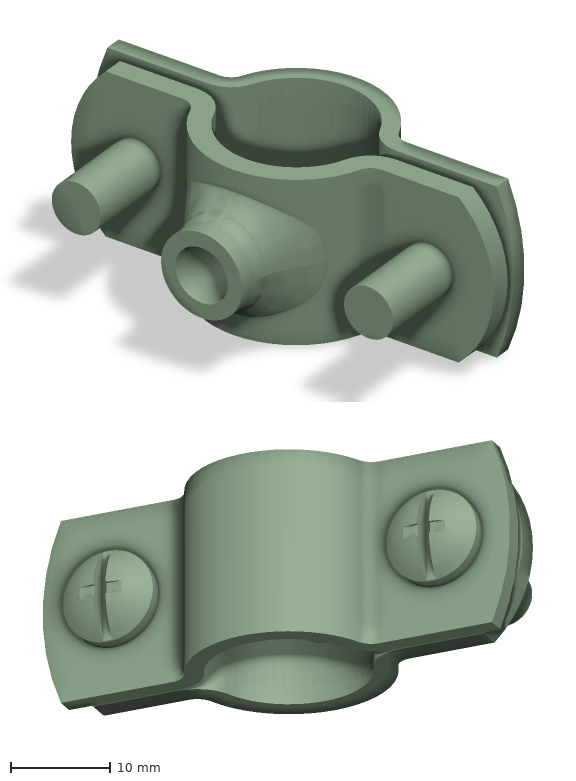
import cadquery as cq
import math


length = 52.0
bore_radius = 8.6
bend_radius = 2.0
rear_thickness = 2.0
rear_height = 20.0
rear_corner_x = 23.95
front_thickness = 2.5
front_height = 19.35
front_corner_x = 21.75
front_seat_y = 0.0
gap = 1.0
rear_seat_y = front_seat_y + gap
rear_face_y = rear_seat_y + rear_thickness

boss_length = 5.55
boss_end_y = -(bore_radius + front_thickness + boss_length)
boss_radius = 5.0
boss_hole_radius = 3.2
neck_length = 1.9
flare_sections = [
    (0.0, 0.0, 0.0),
    (1.65, 0.25, 0.45),
    (3.35, 1.0, 1.8),
    (5.65, 2.5, 4.9),
    (8.15, 3.8, 11.45),
]

screw_x = 18.0
shank_radius = 3.0
shank_length = 15.95
head_radius = 5.0
rim_height = 1.55
dome_height = 2.2
head_height = rim_height + dome_height
slot_top_width = 1.4
slot_floor_width = 1.05
slot_depth = 2.1
cross_slot_width = 1.25
cross_slot_depth = 0.4


def bent_strap(thickness, height, corner_x, seat_y):
    """Strap with a half ring towards +Y; seat_y is the inner face of its flat ends."""
    face_y = seat_y + thickness
    outer_radius = bore_radius + thickness
    bend_y = face_y + bend_radius
    bend_x = math.sqrt((outer_radius + bend_radius) ** 2 - bend_y ** 2)
    ring_angle = math.atan2(bend_y, bend_x)
    middle_angle = (ring_angle + math.pi + 1.5 * math.pi) / 2
    inner_bend_radius = bend_radius + thickness
    end_x = length / 2

    def on_ring(radius):
        return radius * math.cos(ring_angle), radius * math.sin(ring_angle)

    def bend_middle(radius):
        return bend_x + radius * math.cos(middle_angle), bend_y + radius * math.sin(middle_angle)

    def mirrored(point):
        return -point[0], point[1]

    outline = (
        cq.Workplane("XY")
        .moveTo(end_x, seat_y)
        .lineTo(end_x, face_y)
        .lineTo(bend_x, face_y)
        .threePointArc(bend_middle(bend_radius), on_ring(outer_radius))
        .threePointArc((0, outer_radius), mirrored(on_ring(outer_radius)))
        .threePointArc(mirrored(bend_middle(bend_radius)), (-bend_x, face_y))
        .lineTo(-end_x, face_y)
        .lineTo(-end_x, seat_y)
        .lineTo(-bend_x, seat_y)
        .threePointArc(mirrored(bend_middle(inner_bend_radius)), mirrored(on_ring(bore_radius)))
        .threePointArc((0, bore_radius), on_ring(bore_radius))
        .threePointArc(bend_middle(inner_bend_radius), (bend_x, seat_y))
        .close()
    )
    strap = outline.extrude(height / 2, both=True)
    return strap.intersect(rounded_ends(height, corner_x))


def rounded_ends(height, corner_x):
    """Block as long as the clamp whose two ends are arcs in the XZ plane."""
    end_x = length / 2
    half_height = height / 2
    return (
        cq.Workplane("XZ")
        .moveTo(-corner_x, half_height)
        .lineTo(corner_x, half_height)
        .threePointArc((end_x, 0), (corner_x, -half_height))
        .lineTo(-corner_x, -half_height)
        .threePointArc((-end_x, 0), (-corner_x, half_height))
        .close()
        .extrude(length, both=True)
    )


def cylinder_along_y(radius, y_start, y_end):
    """Cylinder on the Y axis from y_start towards -Y down to y_end."""
    return (
        cq.Workplane("XZ", origin=(0, y_start, 0))
        .circle(radius)
        .extrude(y_start - y_end)
    )


def shank(x):
    """Screw shank, which also cuts its own matching hole through both straps."""
    return cylinder_along_y(shank_radius, rear_face_y, rear_face_y - shank_length).translate((x, 0, 0))


def make_boss():
    """Straight neck and its flare, which widens up to the ring of the front strap."""
    neck_y = boss_end_y + neck_length
    flare = cq.Workplane("XZ", origin=(0, neck_y, 0))
    previous_distance = 0.0
    for distance, growth_x, growth_z in flare_sections:
        flare = flare.workplane(offset=previous_distance - distance)
        flare = flare.ellipse(boss_radius + growth_x, boss_radius + growth_z)
        previous_distance = distance
    flare = flare.loft(combine=True)
    neck = cylinder_along_y(boss_radius, neck_y, boss_end_y)
    return neck.union(flare).intersect(rounded_ends(front_height, front_corner_x))


def make_rear_strap():
    strap = bent_strap(rear_thickness, rear_height, rear_corner_x, rear_seat_y)
    for x in (-screw_x, screw_x):
        strap = strap.cut(shank(x))
    return strap


def make_front_strap():
    strap = bent_strap(front_thickness, front_height, front_corner_x, -front_seat_y)
    bore = cq.Workplane("XY").circle(bore_radius).extrude(front_height, both=True)
    strap = strap.mirror("XZ").union(make_boss()).cut(bore)
    strap = strap.cut(cylinder_along_y(boss_hole_radius, 0, boss_end_y))
    for x in (-screw_x, screw_x):
        strap = strap.cut(shank(x))
    return strap


def make_screw(x):
    """Domed screw with a tapered slot along Z and a shallow cross slot along X."""
    rim_y = rear_face_y + rim_height
    top_y = rear_face_y + head_height
    dome_radius = (head_radius ** 2 + dome_height ** 2) / (2 * dome_height)
    dome_middle_x = head_radius / 2
    dome_middle_y = top_y - dome_radius + math.sqrt(dome_radius ** 2 - dome_middle_x ** 2)
    head = (
        cq.Workplane("XY")
        .moveTo(0, rear_face_y)
        .lineTo(head_radius, rear_face_y)
        .lineTo(head_radius, rim_y)
        .threePointArc((dome_middle_x, dome_middle_y), (0, top_y))
        .close()
        .revolve(360, (0, 0, 0), (0, 1, 0))
    )
    floor_y = top_y - slot_depth
    slot = (
        cq.Workplane("XY")
        .moveTo(-slot_floor_width / 2, floor_y)
        .lineTo(slot_floor_width / 2, floor_y)
        .lineTo(slot_top_width / 2, top_y)
        .lineTo(-slot_top_width / 2, top_y)
        .close()
        .extrude(head_radius, both=True)
    )
    cross_slot = cq.Workplane("XY").box(2 * head_radius, 2 * cross_slot_depth, cross_slot_width)
    head = head.cut(slot).cut(cross_slot.translate((0, top_y, 0)))
    return head.translate((x, 0, 0)).union(shank(x))


rear_strap = make_rear_strap()
front_strap = make_front_strap()
screws = [make_screw(x) for x in (-screw_x, screw_x)]

result = cq.Compound.makeCompound(
    [rear_strap.val(), front_strap.val(), *[screw.val() for screw in screws]]
)